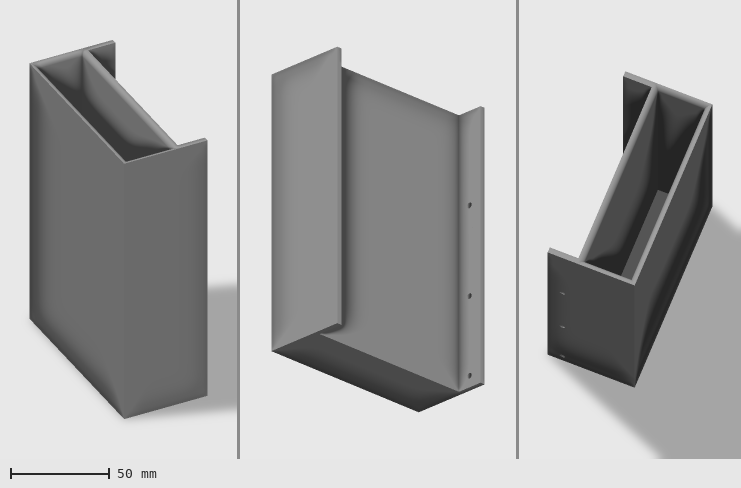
import cadquery as cq

width = 105.2
depth = 47.6
height = 154.5

box_depth = 32.0
wall = 3.0
rear_wall = 3.4
rim_land = 0.3
rim_radius = wall - rim_land

hole_diameter = 3.1
hole_to_rear_edge = 8.0
hole_heights = (6.5, 51, 101.7)

inner_width = width - 2 * wall
inner_depth = box_depth - wall - rear_wall


def corner_block(size_x, size_y, size_z, corner):
    """Make a block whose lowest X, Y and Z corner is at the given point."""
    return cq.Workplane("XY").box(size_x, size_y, size_z, centered=False).translate(corner)


def make_box():
    """Make the hollow box with its inner rim edges rounded over."""
    outside = corner_block(width, box_depth, height, (0, 0, 0))
    cavity = corner_block(inner_width, inner_depth, height - wall, (wall, wall, wall))
    inner_rim = cq.selectors.BoxSelector(
        (wall / 2, wall / 2, height - wall / 2),
        (width - wall / 2, box_depth - wall / 2, height + wall / 2),
    )
    return outside.cut(cavity).edges(inner_rim).fillet(rim_radius)


def make_flange(left_x):
    """Make a full-height flange that continues a side wall to the rear."""
    return corner_block(wall, depth - box_depth, height, (left_x, box_depth, 0))


def make_hole(hole_height):
    """Make a drill along X that passes through the left flange."""
    return (
        cq.Workplane("YZ")
        .center(depth - hole_to_rear_edge, hole_height)
        .circle(hole_diameter / 2)
        .extrude(wall)
    )


result = make_box()
for flange_x in (0, width - wall):
    result = result.union(make_flange(flange_x))
for hole_height in hole_heights:
    result = result.cut(make_hole(hole_height))